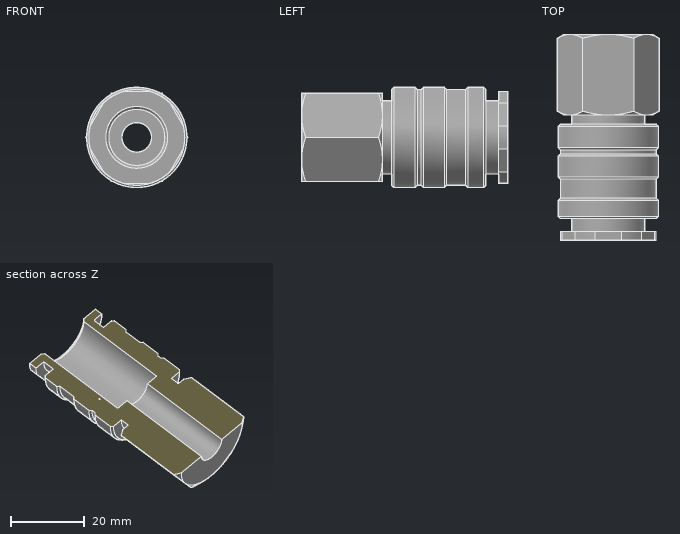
import cadquery as cq
import math

length = 56.0

nut_flats = 24.0
nut_start = 34.05
nut_chamfer_angle = 30.0

core_radius = 9.95

sleeve_radius = 13.65
groove_radius = 13.05
edge_length = 0.6
sleeve_bands = [(5.95, 11.5), (16.65, 23.5), (24.6, 31.6)]

flange_radius = 13.0
flange_flats = 25.0
flange_thickness = 2.45

socket_radius = 7.6
socket_depth = 28.0
mouth_chamfer = 0.8
passage_radius = 4.0


def cylinder(radius, start, end):
    """Round bar along Y from start to end."""
    circle = cq.Workplane("XZ", origin=(0, start, 0)).circle(radius)
    return circle.extrude(start - end)


def hexagon(flats, start, end):
    """Hexagonal bar along Y with corners on +X and -X."""
    corner_diameter = flats / math.cos(math.radians(30))
    outline = cq.Workplane("XZ", origin=(0, start, 0)).polygon(6, corner_diameter)
    return outline.extrude(start - end)


def revolve_profile(points):
    """Solid of revolution about Y from (radius, y) points."""
    profile = cq.Workplane("XY").polyline(points).close()
    return profile.revolve(360, (0, 0, 0), (0, 1, 0))


def make_nut():
    """Hexagon with its corners turned off by a cone at both ends."""
    flat_radius = nut_flats / 2
    corner_radius = flat_radius / math.cos(math.radians(30))
    clear_radius = corner_radius + 0.55
    drop = (clear_radius - flat_radius) * math.tan(math.radians(nut_chamfer_angle))
    envelope = revolve_profile([
        (0, nut_start),
        (flat_radius, nut_start),
        (clear_radius, nut_start + drop),
        (clear_radius, length - drop),
        (flat_radius, length),
        (0, length),
    ])
    return hexagon(nut_flats, nut_start, length).intersect(envelope)


def make_band(start, end):
    """Raised sleeve band, bevelled down to the groove radius at both ends."""
    return revolve_profile([
        (0, start),
        (groove_radius, start),
        (sleeve_radius, start + edge_length),
        (sleeve_radius, end - edge_length),
        (groove_radius, end),
        (0, end),
    ])


def make_sleeve():
    """Three raised bands separated by two grooves."""
    sleeve = cylinder(groove_radius, sleeve_bands[0][0], sleeve_bands[-1][1])
    for start, end in sleeve_bands:
        sleeve = sleeve.union(make_band(start, end))
    return sleeve


def make_flange():
    """Thin disc with six flats, aligned with the nut."""
    disc = cylinder(flange_radius, 0, flange_thickness)
    return disc.intersect(hexagon(flange_flats, 0, flange_thickness))


def make_bore():
    """Chamfered socket at the front and a narrow passage right through."""
    return revolve_profile([
        (0, 0),
        (socket_radius + mouth_chamfer, 0),
        (socket_radius, mouth_chamfer),
        (socket_radius, socket_depth),
        (passage_radius, socket_depth),
        (passage_radius, length),
        (0, length),
    ])


body = cylinder(core_radius, 0, length)
for feature in (make_flange(), make_sleeve(), make_nut()):
    body = body.union(feature)
result = body.cut(make_bore())